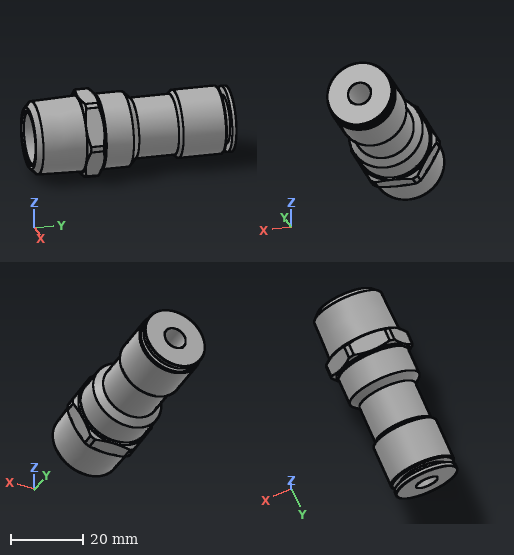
import cadquery as cq
import math

length = 57.1

collar_radius = 9.25
collar_length = 1.25
collar_edge = 0.1
neck_radius = 6.8
neck_length = 1.55

head_radius = 9.55
head_end = 15.25
head_edge = 0.35
waist_radius = 8.5
waist_end = 27.65

shoulder_radius = 10.55
shoulder_edge = 0.55

hex_across_flats = 22.0
hex_across_corners = 24.5
hex_length = 5.0
hex_chamfer_angle = 30.0

thread_base_radius = 10.6
thread_length = 14.05
thread_taper_half = 0.5 / 16
thread_edge = 1.65

bore_radius = 7.2
bore_mouth_radius = 7.7
bore_depth = 22.85
bore_tip_half_angle = 59.0
passage_radius = 3.25

rear_y = length / 2
front_y = -length / 2
collar_y = rear_y - collar_length
head_rear_y = collar_y - neck_length
head_front_y = rear_y - head_end
waist_rear_y = head_front_y - (head_radius - waist_radius)
waist_front_y = rear_y - waist_end
shoulder_rear_y = waist_front_y - (shoulder_radius - waist_radius)
hex_front_y = front_y + thread_length
hex_rear_y = hex_front_y + hex_length


def revolve_about_y(points):
    """Turn a closed (radius, y) outline about the Y axis."""
    return cq.Workplane("XY").polyline(points).close().revolve(360, (0, 0, 0), (0, 1, 0))


def turned_body():
    thread_edge_radius = thread_base_radius - (thread_length - thread_edge) * thread_taper_half
    return revolve_about_y([
        (0, rear_y),
        (collar_radius - collar_edge, rear_y),
        (collar_radius, rear_y - collar_edge),
        (collar_radius, collar_y),
        (neck_radius, collar_y),
        (neck_radius, head_rear_y),
        (head_radius - head_edge, head_rear_y),
        (head_radius, head_rear_y - head_edge),
        (head_radius, head_front_y),
        (waist_radius, waist_rear_y),
        (waist_radius, waist_front_y),
        (shoulder_radius, shoulder_rear_y),
        (shoulder_radius, hex_rear_y + shoulder_edge),
        (shoulder_radius - shoulder_edge, hex_rear_y),
        (thread_base_radius, hex_front_y),
        (thread_edge_radius, front_y + thread_edge),
        (thread_edge_radius - thread_edge, front_y),
        (0, front_y),
    ])


def hexagon():
    """Hexagon with flats facing +Z and -Z, its corners turned down and chamfered."""
    flat_radius = hex_across_flats / 2
    corner_radius = hex_across_corners / 2
    chamfer = (corner_radius - flat_radius) * math.tan(math.radians(hex_chamfer_angle))
    prism_diameter = hex_across_flats / math.cos(math.radians(30))
    prism = (
        cq.Workplane("XZ", origin=(0, hex_rear_y, 0))
        .polygon(6, prism_diameter)
        .extrude(hex_length)
    )
    blank = revolve_about_y([
        (0, hex_rear_y),
        (flat_radius, hex_rear_y),
        (corner_radius, hex_rear_y - chamfer),
        (corner_radius, hex_front_y + chamfer),
        (flat_radius, hex_front_y),
        (0, hex_front_y),
    ])
    return prism.intersect(blank)


def inner_passage():
    """Chamfered bore with a conical floor, leading into a narrow through hole."""
    mouth_depth = bore_mouth_radius - bore_radius
    floor_y = front_y + bore_depth
    cone_length = (bore_radius - passage_radius) / math.tan(math.radians(bore_tip_half_angle))
    return revolve_about_y([
        (0, front_y),
        (bore_mouth_radius, front_y),
        (bore_radius, front_y + mouth_depth),
        (bore_radius, floor_y),
        (passage_radius, floor_y + cone_length),
        (passage_radius, rear_y),
        (0, rear_y),
    ])


result = turned_body().union(hexagon()).cut(inner_passage())